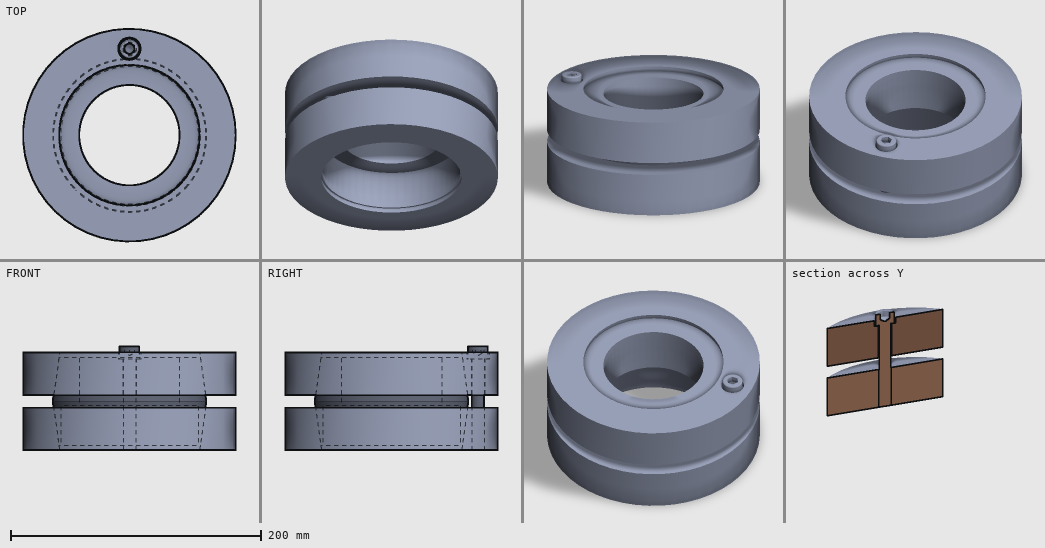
import cadquery as cq
import math

plate_diameter = 170
plate_thickness = 34
plate_gap = 10
stack_height = 2 * plate_thickness + plate_gap
middle_height = stack_height / 2
upper_plate_bottom = plate_thickness + plate_gap

taper_mouth_diameter = 112
taper_angle = 8
ring_recess = 4
ring_bottom = ring_recess
ring_top = stack_height - ring_recess
shaft_bore_diameter = 80
hub_bore_diameter = 110
bore_step_height = 36

screw_offset = 69
shank_diameter = 10
clearance_diameter = 11
head_diameter = 16
head_height = 10
head_protrusion = 5
head_edge_radius = 1
counterbore_diameter = 18
head_top = stack_height + head_protrusion
head_bottom = head_top - head_height
counterbore_depth = stack_height - head_bottom
shank_bottom = 0
socket_width = 8
socket_depth = 5
socket_point_angle = 120


def cone_radius(height):
    """Radius of the double cone, growing from each outer plate face to the middle height."""
    distance_from_face = middle_height - abs(height - middle_height)
    return taper_mouth_diameter / 2 + distance_from_face * math.tan(math.radians(taper_angle))


def disc(diameter, bottom, top, y=0):
    """Upright cylinder between two heights."""
    return cq.Workplane("XY", origin=(0, y, bottom)).circle(diameter / 2).extrude(top - bottom)


def double_cone(bottom, top):
    """Solid of revolution tapering away from the middle height."""
    profile = [
        (0, bottom),
        (cone_radius(bottom), bottom),
        (cone_radius(middle_height), middle_height),
        (cone_radius(top), top),
        (0, top),
    ]
    return cq.Workplane("XZ").polyline(profile).close().revolve(360, (0, 0), (0, 1))


def make_plate(bottom):
    """Disc whose tapered bore fits the ring."""
    blank = disc(plate_diameter, bottom, bottom + plate_thickness)
    return blank.cut(double_cone(0, stack_height))


def make_lower_plate():
    screw_hole = disc(shank_diameter, shank_bottom, plate_thickness, screw_offset)
    return make_plate(0).cut(screw_hole)


def make_upper_plate():
    clearance_hole = disc(clearance_diameter, upper_plate_bottom, stack_height, screw_offset)
    counterbore = disc(counterbore_diameter, stack_height - counterbore_depth, stack_height, screw_offset)
    return make_plate(upper_plate_bottom).cut(clearance_hole).cut(counterbore)


def make_ring():
    """Tapered ring with a shaft bore above and a wider hub bore below."""
    shaft_bore = disc(shaft_bore_diameter, ring_bottom, ring_top)
    hub_bore = disc(hub_bore_diameter, ring_bottom, bore_step_height)
    return double_cone(ring_bottom, ring_top).cut(shaft_bore).cut(hub_bore)


def make_socket():
    """Hexagonal key socket, corners along Y, ending in a conical point."""
    corner_diameter = socket_width / math.cos(math.pi / 6)
    socket_floor = head_top - socket_depth
    hexagon = (
        cq.Workplane("XY", origin=(0, screw_offset, socket_floor))
        .transformed(rotate=(0, 0, 90))
        .polygon(6, corner_diameter)
        .extrude(socket_depth)
    )
    point_radius = socket_width / 2
    point_depth = point_radius / math.tan(math.radians(socket_point_angle / 2))
    point = cq.Solid.makeCone(
        point_radius, 0, point_depth, cq.Vector(0, screw_offset, socket_floor), cq.Vector(0, 0, -1)
    )
    return hexagon.union(cq.Workplane(point))


def make_screw():
    head = disc(head_diameter, head_bottom, head_top, screw_offset)
    head = head.faces(">Z").edges().fillet(head_edge_radius)
    shank = disc(shank_diameter, shank_bottom, head_bottom, screw_offset)
    return head.union(shank).cut(make_socket())


lower_plate = make_lower_plate()
upper_plate = make_upper_plate()
ring = make_ring()
screw = make_screw()

result = cq.Compound.makeCompound([lower_plate.val(), upper_plate.val(), ring.val(), screw.val()])